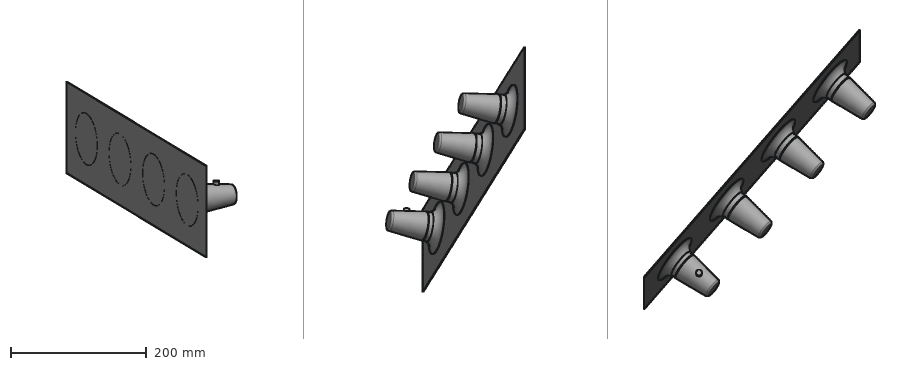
import cadquery as cq
import math

plate_length = 500.0
plate_height = 140.0
plate_thickness = 1.5

knob_count = 4
knob_pitch = 120.0
knob_tip = 77.5

flare_radius = 39.0
flare_rim = 1.0
flare_top_radius = 23.0
flare_top = 13.5
collar_radius = 22.0
collar_top = 21.5

gap_width = 1.0
gap_depth = 1.0

handle_base_radius = 22.0
handle_tip_radius = 15.0
handle_edge_round = 3.5
handle_length = knob_tip - collar_top - gap_width
last_handle_drop = 1.5

button_diameter = 9.0
button_y = 48.0
button_top = 23.5


def make_plate():
    plate = cq.Workplane("XY").box(plate_length, plate_thickness, plate_height)
    return plate.translate((0, plate_thickness / 2, 0))


def revolve_about_y(profile):
    """Close a half profile and turn it about the Y axis."""
    return profile.close().revolve(360, (0, 0), (0, 1))


def make_base(collar_end):
    """Flare with a concave arc that leaves the rim flat, the straight collar and the gap core above it."""
    rim_y = plate_thickness + flare_rim
    run = flare_radius - flare_top_radius
    rise = flare_top - rim_y
    arc_radius = (run**2 + rise**2) / (2 * rise)
    half_angle = math.atan2(rise, run)
    arc_middle = (
        flare_radius - arc_radius * math.sin(half_angle),
        rim_y + arc_radius * (1 - math.cos(half_angle)),
    )
    profile = (
        cq.Workplane("XY")
        .lineTo(flare_radius, 0)
        .lineTo(flare_radius, rim_y)
        .threePointArc(arc_middle, (flare_top_radius, flare_top))
        .lineTo(collar_radius, flare_top)
        .lineTo(collar_radius, collar_end)
        .lineTo(collar_radius - gap_depth, collar_end)
        .lineTo(collar_radius - gap_depth, collar_end + gap_width)
        .lineTo(0, collar_end + gap_width)
    )
    return revolve_about_y(profile)


def make_handle(start):
    """Cone narrowing away from the plate, with a rounded tip edge."""
    end = start + handle_length
    profile = (
        cq.Workplane("XY")
        .moveTo(0, start)
        .lineTo(handle_base_radius, start)
        .lineTo(handle_tip_radius, end)
        .lineTo(0, end)
    )
    return revolve_about_y(profile).faces(">Y").edges().fillet(handle_edge_round)


def make_knob(drop):
    collar_end = collar_top - drop
    return make_base(collar_end).union(make_handle(collar_end + gap_width))


def make_button():
    """Upright pin rising from the handle axis."""
    return cq.Workplane("XY").center(0, button_y).circle(button_diameter / 2).extrude(button_top)


result = make_plate()
for index in range(knob_count):
    knob_x = (index - (knob_count - 1) / 2) * knob_pitch
    if index == knob_count - 1:
        knob = make_knob(last_handle_drop).union(make_button())
    else:
        knob = make_knob(0)
    result = result.union(knob.translate((knob_x, 0, 0)))